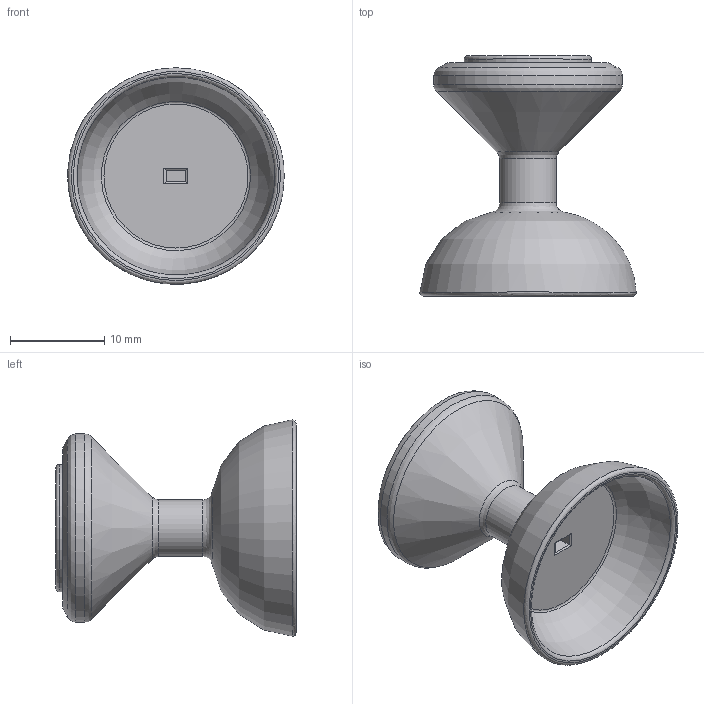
import cadquery as cq
import math


CUP_RADIUS = 11.5
CUP_ARC_RADIUS = 9.0
CUP_WALL = 1.0
CUP_FLOOR_Y = 6.0
RIM_FILLET = 0.4
FLOOR_FILLET = 0.4

NECK_RADIUS = 3.0
NECK_FILLET = 1.0

HEAD_RADIUS = 10.0
CONE_START_Y = 15.0
BEVEL_START_Y = 24.0
BEVEL_WIDTH = 1.5
HEAD_EDGE_FILLET = 1.0
HEAD_BACK_Y = 24.75

DISC_RADIUS = 6.75
DISC_FILLET = 0.35
TOTAL_LENGTH = 25.5

SOCKET_WIDTH = 2.05
SOCKET_HEIGHT = 1.25
SOCKET_DEPTH = 3.0
MOUTH_WIDTH = 2.55
MOUTH_HEIGHT = 1.6
MOUTH_DEPTH = 0.12

ARC_CENTER_RADIUS = CUP_RADIUS - CUP_ARC_RADIUS
NECK_START_Y = math.sqrt(CUP_ARC_RADIUS**2 - (NECK_RADIUS - ARC_CENTER_RADIUS) ** 2)
CONE_END_Y = CONE_START_Y + HEAD_RADIUS - NECK_RADIUS
RING_TOLERANCE = 0.01
RING_REACH = CUP_RADIUS + 1


def arc_point(arc_radius, y):
    """Profile point at height y on an arc about the cup's arc centre."""
    return (ARC_CENTER_RADIUS + math.sqrt(arc_radius**2 - y**2), y)


def revolve(profile):
    """Close a radius-Y outline and turn it about the Y axis."""
    return profile.close().revolve(360, (0, 0, 0), (0, 1, 0))


def fillet_rings(body, y, size):
    """Fillet every circular edge lying in the plane at y."""
    slab = cq.selectors.BoxSelector(
        (-RING_REACH, y - RING_TOLERANCE, -RING_REACH),
        (RING_REACH, y + RING_TOLERANCE, RING_REACH),
        boundingbox=True,
    )
    return body.edges(slab).fillet(size)


def make_solid_body():
    """Cup, neck, head and back disc with sharp edges and no hollow."""
    return revolve(
        cq.Workplane("XY")
        .lineTo(CUP_RADIUS, 0)
        .threePointArc(arc_point(CUP_ARC_RADIUS, CUP_ARC_RADIUS / 2), (NECK_RADIUS, NECK_START_Y))
        .lineTo(NECK_RADIUS, CONE_START_Y)
        .lineTo(HEAD_RADIUS, CONE_END_Y)
        .lineTo(HEAD_RADIUS, BEVEL_START_Y)
        .lineTo(HEAD_RADIUS - BEVEL_WIDTH, HEAD_BACK_Y)
        .lineTo(DISC_RADIUS, HEAD_BACK_Y)
        .lineTo(DISC_RADIUS, TOTAL_LENGTH)
        .lineTo(0, TOTAL_LENGTH)
    )


def make_cup_hollow():
    """Space inside the cup, one wall thickness in from the outer arc."""
    inner_arc_radius = CUP_ARC_RADIUS - CUP_WALL
    return revolve(
        cq.Workplane("XY")
        .lineTo(CUP_RADIUS - CUP_WALL, 0)
        .threePointArc(
            arc_point(inner_arc_radius, CUP_FLOOR_Y / 2),
            arc_point(inner_arc_radius, CUP_FLOOR_Y),
        )
        .lineTo(0, CUP_FLOOR_Y)
    )


def round_edges(body):
    """Fillet the rings of the body from the cup rim to the back disc."""
    rings = [
        (0, RIM_FILLET),
        (CUP_FLOOR_Y, FLOOR_FILLET),
        (NECK_START_Y, NECK_FILLET),
        (CONE_START_Y, NECK_FILLET),
        (CONE_END_Y, HEAD_EDGE_FILLET),
        (BEVEL_START_Y, HEAD_EDGE_FILLET),
        (TOTAL_LENGTH, DISC_FILLET),
    ]
    for y, size in rings:
        body = fillet_rings(body, y, size)
    return body


def make_socket():
    """Rectangular blind pocket with a shallow bevelled mouth on the cup floor."""
    pocket = cq.Workplane("XY").box(
        SOCKET_WIDTH, SOCKET_DEPTH, SOCKET_HEIGHT, centered=(True, False, True)
    )
    mouth = (
        cq.Workplane("XZ")
        .rect(MOUTH_WIDTH, MOUTH_HEIGHT)
        .workplane(offset=-MOUTH_DEPTH)
        .rect(SOCKET_WIDTH, SOCKET_HEIGHT)
        .loft()
    )
    return pocket.union(mouth).translate((0, CUP_FLOOR_Y, 0))


result = round_edges(make_solid_body().cut(make_cup_hollow())).cut(make_socket())